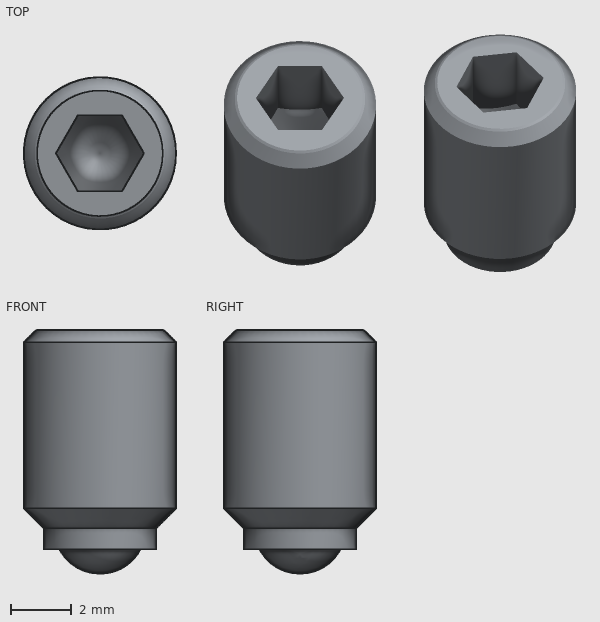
import cadquery as cq
import math

length = 8.0
body_radius = 2.5

ball_radius = 1.5
ball_protrusion = 0.8
ball_center_z = ball_radius

neck_radius = 1.85
neck_height = 0.7
neck_bottom_z = ball_protrusion
neck_top_z = neck_bottom_z + neck_height
lower_cone_height = body_radius - neck_radius
body_bottom_z = neck_top_z + lower_cone_height

chamfer_size = 0.36
edge_break_width = 0.08
edge_break_height = 0.05
chamfer_top_radius = body_radius - chamfer_size
face_radius = chamfer_top_radius - edge_break_width
chamfer_top_z = length - edge_break_height
chamfer_bottom_z = chamfer_top_z - chamfer_size

hex_across_flats = 2.5
hex_corner_radius = hex_across_flats / math.sqrt(3)
hex_depth = 2.5
drill_point_angle = 120.0
drill_point_depth = hex_corner_radius / math.tan(math.radians(drill_point_angle / 2))
hex_floor_z = length - hex_depth


def make_ball():
    """Full sphere whose lowest point is at Z = 0."""
    return cq.Workplane("XY").sphere(ball_radius).translate((0, 0, ball_center_z))


def make_screw_blank():
    """Turned outside shape: neck, cone, cylinder, chamfer and edge break."""
    return (
        cq.Workplane("XZ")
        .moveTo(0, neck_bottom_z)
        .lineTo(neck_radius, neck_bottom_z)
        .lineTo(neck_radius, neck_top_z)
        .lineTo(body_radius, body_bottom_z)
        .lineTo(body_radius, chamfer_bottom_z)
        .lineTo(chamfer_top_radius, chamfer_top_z)
        .lineTo(face_radius, length)
        .lineTo(0, length)
        .close()
        .revolve(360, (0, 0), (0, 1))
    )


def make_hex_socket():
    """Socket volume: a hexagonal prism, corners on X, ending in a drill point."""
    prism = (
        cq.Workplane("XY", origin=(0, 0, hex_floor_z - drill_point_depth))
        .polygon(6, 2 * hex_corner_radius)
        .extrude(hex_depth + drill_point_depth)
    )
    drill = (
        cq.Workplane("XZ")
        .moveTo(0, hex_floor_z - drill_point_depth)
        .lineTo(hex_corner_radius, hex_floor_z)
        .lineTo(hex_corner_radius, length)
        .lineTo(0, length)
        .close()
        .revolve(360, (0, 0), (0, 1))
    )
    return prism.intersect(drill)


ball = make_ball()
screw = make_screw_blank().cut(make_hex_socket()).cut(ball)

result = cq.Compound.makeCompound([screw.solids().val(), ball.val()])